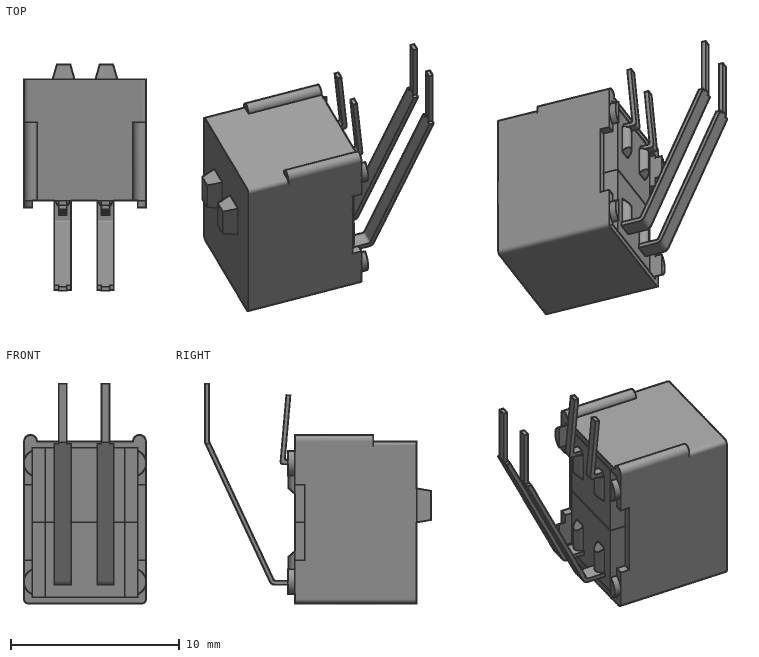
import cadquery as cq
import math


housing_width = 7.26
housing_depth = 7.23
housing_height = 9.65
corner_radius = 0.25
side_wall = 0.5
top_wall = 0.39
front_wall = side_wall
middle_z = housing_height / 2

rib_radius = 0.39
rib_length = 4.67

notch_height = 4.51
notch_depth = 0.58

standoff = 0.42
boss_radius = 0.8
boss_from_middle = 3.53

cavity_width = housing_width - 2 * side_wall
cavity_depth = housing_depth - front_wall
half_height = middle_z - top_wall
block_width = 4.71
channel_depth = 1.0

pitch = 2.55
terminal_shift = -0.05
post_radius = 0.4
post_tip_from_middle = 1.7
post_slope_height = 0.36
terminal_from_middle = 3.46

sheet = 0.25
narrow_width = 0.5
wide_width = 1.01
short_reach = 0.88
short_top = 12.4
short_lean = 5.0
short_inner_radius = 0.12
short_outer_radius = 0.16
long_reach = 5.36
long_top = 13.08
long_lean = 25.0
long_bend_z = 9.66
long_inner_radius = 0.13
long_outer_radius = 0.39
shoulder_z = 9.51

slider_root_width = 1.3
slider_tip_width = 0.81
slider_root_height = 2.03
slider_tip_height = 1.74
slider_length = 0.88

pole_xs = [-pitch / 2, pitch / 2]
terminal_xs = [x + terminal_shift for x in pole_xs]


def box(x_size, y_range, z_range):
    """Box centred on X = 0 that spans the given Y and Z ranges."""
    (y0, y1), (z0, z1) = y_range, z_range
    return cq.Workplane("XY").box(x_size, y1 - y0, z1 - z0, centered=(True, False, False)).translate((0, y0, z0))


def along_y(profile, y_start, y_end):
    """Extrude a profile drawn on the XZ plane from y_start to y_end."""
    return profile.extrude(y_start - y_end).translate((0, y_start, 0))


def make_housing():
    body = box(housing_width, (0, housing_depth), (0, housing_height)).edges("|Y").fillet(corner_radius)

    for side in (-1, 1):
        rib_x = side * (housing_width / 2 - rib_radius)
        rib = along_y(cq.Workplane("XZ").center(rib_x, housing_height).circle(rib_radius), 0, rib_length)
        rib_foot = box(2 * rib_radius, (0, rib_length), (housing_height - rib_radius, housing_height))
        body = body.union(rib).union(rib_foot.translate((rib_x, 0, 0)))

    body = body.cut(box(cavity_width, (0, cavity_depth), (top_wall, housing_height - top_wall)))
    notch_range = (middle_z - notch_height / 2, middle_z + notch_height / 2)
    body = body.cut(box(housing_width, (0, notch_depth), notch_range))

    cavity_space = box(cavity_width, (-standoff, 0), (0, housing_height))
    for side in (-1, 1):
        for end in (-1, 1):
            boss_x = side * (housing_width / 2 - boss_radius)
            boss_z = middle_z + end * boss_from_middle
            disc = cq.Workplane("XZ").center(boss_x, boss_z).circle(boss_radius)
            body = body.union(along_y(disc, -standoff, 0).cut(cavity_space))
    return body


def make_post(x):
    """Half-round post of the upper base half, with a sloped lower end."""
    tip_z = middle_z + post_tip_from_middle
    top_z = middle_z + terminal_from_middle
    half_round = (
        cq.Workplane("XY", origin=(x, 0, tip_z))
        .moveTo(-post_radius, 0)
        .threePointArc((0, -post_radius), (post_radius, 0))
        .close()
        .extrude(top_z - tip_z)
    )
    under_slope = (
        cq.Workplane("YZ", origin=(x, 0, 0))
        .polyline([(0, tip_z), (-post_radius, tip_z + post_slope_height), (-post_radius, tip_z)])
        .close()
        .extrude(post_radius, both=True)
    )
    return half_round.cut(under_slope)


def make_upper_block():
    """Upper base half without its terminals."""
    z_range = (middle_z, middle_z + half_height)
    block = box(cavity_width, (channel_depth, cavity_depth), z_range)
    block = block.union(box(block_width, (0, channel_depth), z_range))
    for x in terminal_xs:
        block = block.union(make_post(x))
    return block


def extrude_terminal(points, width, x):
    """Extrude a side outline of (y, z) points over a width centred on x."""
    return cq.Workplane("YZ", origin=(x, 0, 0)).polyline(points).close().extrude(width / 2, both=True)


def round_bend(terminal, x, inner, inner_radius, outer, outer_radius):
    """Round the inner and the outer edge of a bend, given as (y, z) points."""
    for (y, z), radius in ((inner, inner_radius), (outer, outer_radius)):
        terminal = terminal.edges("|X").edges(cq.NearestToPointSelector((x, y, z))).fillet(radius)
    return terminal


def make_short_terminal(x):
    lean = math.radians(short_lean)
    z_low = middle_z + terminal_from_middle
    z_high = z_low + sheet
    across = sheet / math.cos(lean)

    outer = (-short_reach, z_low)
    inner = (-short_reach + sheet * math.tan(lean) + across, z_high)
    outer_tip = (-short_reach + (short_top - z_low) * math.tan(lean), short_top)
    inner_tip = (outer_tip[0] + sheet * math.cos(lean), short_top - sheet * math.sin(lean))

    terminal = extrude_terminal([(0, z_low), outer, outer_tip, inner_tip, inner, (0, z_high)], narrow_width, x)
    return round_bend(terminal, x, inner, short_inner_radius, outer, short_outer_radius)


def make_long_terminal(x):
    lean = math.radians(long_lean)
    z_high = middle_z - terminal_from_middle
    z_low = z_high - sheet
    across = sheet / math.cos(lean)

    y_tip = -long_reach
    inner_bend = (y_tip + sheet, long_bend_z)
    outer_bend = (y_tip, long_bend_z - sheet * math.tan(lean / 2))
    inner = (inner_bend[0] + (long_bend_z - z_high) * math.tan(lean), z_high)
    outer = (inner[0] + sheet * math.tan(lean) - across, z_low)

    side_outline = [
        (0, z_low), outer, outer_bend, (y_tip, long_top),
        (y_tip + sheet, long_top), inner_bend, inner, (0, z_high),
    ]
    terminal = extrude_terminal(side_outline, wide_width, x)
    terminal = round_bend(terminal, x, inner, long_inner_radius, outer, long_outer_radius)

    above_shoulders = box(wide_width, (-long_reach, 0), (shoulder_z, long_top))
    narrow_tip = box(narrow_width, (-long_reach, 0), (shoulder_z, long_top))
    return terminal.cut(above_shoulders.cut(narrow_tip).translate((x, 0, 0)))


def make_upper_base():
    base = make_upper_block()
    for x in terminal_xs:
        base = base.union(make_short_terminal(x))
    return base


def make_lower_base():
    base = make_upper_block().mirror("XY", (0, 0, middle_z))
    for x in terminal_xs:
        base = base.union(make_long_terminal(x))
    return base


def make_slider(x):
    """Tapered slider knob that stands on the front of the housing, above its middle."""
    centre_z = middle_z + slider_root_height / 2
    return (
        cq.Workplane("XZ", origin=(x, housing_depth, centre_z))
        .rect(slider_root_width, slider_root_height)
        .workplane(offset=-slider_length)
        .rect(slider_tip_width, slider_tip_height)
        .loft(ruled=True)
    )


housing = make_housing()
upper_base = make_upper_base()
lower_base = make_lower_base()
sliders = [make_slider(x) for x in pole_xs]

result = cq.Compound.makeCompound(
    [housing.val(), upper_base.val(), lower_base.val(), *[slider.val() for slider in sliders]]
)